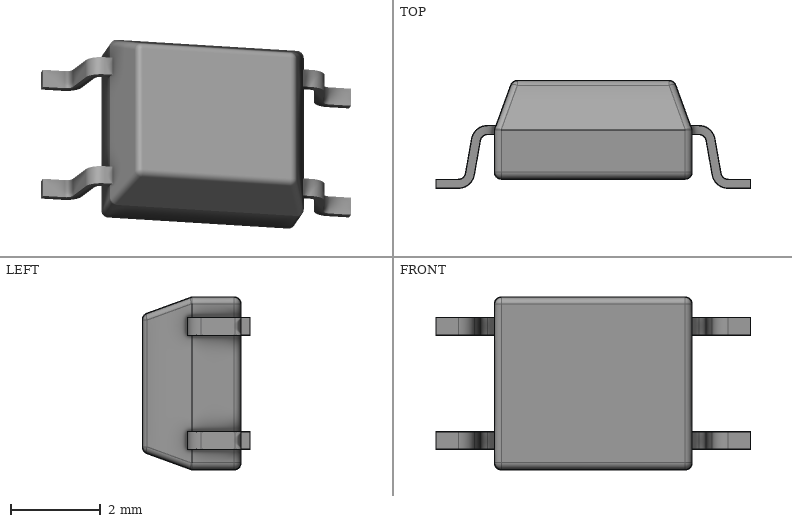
import cadquery as cq
import math


overall_length = 7.0
overall_height = 2.4

lead_thickness = 0.2
lead_width = 0.4
lead_pitch = 2.54
lead_rise = 1.2
lead_lean = 10.0
foot_length = 0.5
bend_radius = 0.16
lead_embedding = 0.2

housing_length = 4.4
housing_width = 3.85
housing_front = lead_thickness
parting_height = lead_rise + lead_thickness / 2
draft_angle = 20.0
edge_radius = 0.16


def parting_outline():
    """Rectangle of the housing in the parting plane, with its normal along +Y."""
    return cq.Workplane("ZX", origin=(0, parting_height, 0)).rect(housing_width, housing_length)


def make_housing_blank():
    """Straight-sided block below the parting plane, tapered block above it, outer edges rounded."""
    straight_half = parting_outline().extrude(housing_front - parting_height)
    tapered_half = parting_outline().extrude(overall_height - parting_height, taper=draft_angle)
    block = straight_half.union(tapered_half)

    return block.edges("(not (|X or |Z)) or <Y or >Y").fillet(edge_radius)


def make_lead(side, z_center):
    """Flat strip bent twice; side is +1 or -1 for the +X or -X end of the housing."""
    lean = math.radians(lead_lean)
    bend_angle = 90 - lead_lean
    bend_center_radius = bend_radius + lead_thickness / 2
    bend_rise = bend_center_radius * (1 - math.sin(lean))
    bend_run = bend_center_radius * math.cos(lean)
    shank_rise = lead_rise - 2 * bend_rise
    shank_run = shank_rise * math.tan(lean)

    tip = overall_length / 2
    foot_y = lead_thickness / 2
    foot_end = (tip - foot_length, foot_y)
    shank_start = (foot_end[0] - bend_run, foot_y + bend_rise)
    shank_end = (shank_start[0] - shank_run, shank_start[1] + shank_rise)
    shoulder_start = (shank_end[0] - bend_run, foot_y + lead_rise)
    inner_end = (housing_length / 2 - lead_embedding, foot_y + lead_rise)

    half_bend = math.radians(bend_angle / 2)
    mid_run = bend_center_radius * math.sin(half_bend)
    mid_rise = bend_center_radius * (1 - math.cos(half_bend))
    foot_bend_middle = (foot_end[0] - mid_run, foot_y + mid_rise)
    shoulder_bend_middle = (shoulder_start[0] + mid_run, shoulder_start[1] - mid_rise)

    center_line = (
        cq.Workplane("XY")
        .moveTo(tip, foot_y)
        .lineTo(*foot_end)
        .threePointArc(foot_bend_middle, shank_start)
        .lineTo(*shank_end)
        .threePointArc(shoulder_bend_middle, shoulder_start)
        .lineTo(*inner_end)
    )
    strip = (
        cq.Workplane("YZ", origin=(tip, foot_y, 0))
        .rect(lead_thickness, lead_width)
        .sweep(center_line)
    )
    if side < 0:
        strip = strip.mirror("YZ")
    return strip.translate((0, 0, z_center))


leads = []
for side in (-1, 1):
    for z_center in (-lead_pitch / 2, lead_pitch / 2):
        leads.append(make_lead(side, z_center))

housing = make_housing_blank()
for lead in leads:
    housing = housing.cut(lead)

result = cq.Compound.makeCompound([housing.val(), *[lead.val() for lead in leads]])